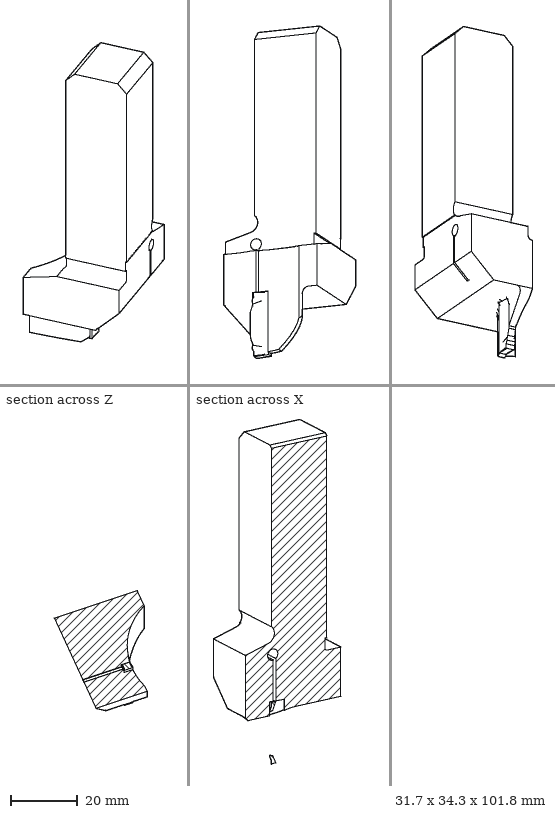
import cadquery as cq
import math


total_height = 101.8
head_right = 31.4
head_depth = 34.3
relief = 0.3

shank_width = 20.0
shank_right = head_right + relief
shank_left = shank_right - shank_width
shank_front = 5.0
shank_back = shank_front + shank_width
shank_chamfer = 3.0
relief_top = 39.8

head_bottom = 16.8
head_chamfer = 7.7
shoulder_angle = math.radians(15)
shoulder_slope = math.tan(shoulder_angle)
side_shoulder_z = 29.7
side_cove_radius = 1.2
ledge_z = 32.7
undercut_front = 5.6
undercut_top = 36.5
ledge_fillet = 0.6

arm_back_z = 36.7
arm_cove_radius = 3.0
arm_cove_bite = 1.0
hinge_hole_y = 24.4
hinge_hole_z = 35.0
hinge_hole_radius = 1.7
slot_width = 0.8
slot_y = 23.8

blade_front = 4.7
blade_right = 13.7
blade_arc_y = 25.1
blade_inner_x = 11.4
blade_inner_radius = 22.0
blade_bottom = 0.9
blade_slope_back = 16.2
blade_slope_top = 7.8
blade_fillet = 1.9
jaw_flat_x = 10.2
jaw_tip_z = 6.9

insert_length = 20.1
insert_seat_y = 20.3
insert_edge_y = 24.9
insert_land_y = 25.4
insert_hump_y = 26.2
insert_width = 3.1
body_width = 2.3
insert_center_x = blade_right - body_width / 2
insert_end_relief = 0.2
edge_land_z = 1.4
land_start_z = 2.4
land_end_z = 4.1
hump_start_z = 6.1
pad_length = 3.0
pad_end = 3.7
pad_end_width = 2.9
pad_depth = 4.0
pad_corner = 0.2
pad_draft = 5.0


def front_block():
    """Shank and head with their XZ outline, through the full depth."""
    shoulder_at_shank = side_shoulder_z + shank_left * shoulder_slope
    block = (
        cq.Workplane("XZ")
        .moveTo(0, head_bottom)
        .lineTo(head_right - head_chamfer, head_bottom)
        .lineTo(head_right, head_bottom + head_chamfer)
        .lineTo(head_right, relief_top)
        .lineTo(shank_right, relief_top)
        .lineTo(shank_right, total_height - shank_chamfer)
        .lineTo(shank_right - shank_chamfer, total_height)
        .lineTo(shank_left + shank_chamfer, total_height)
        .lineTo(shank_left, total_height - shank_chamfer)
        .lineTo(shank_left, shoulder_at_shank)
        .lineTo(0, side_shoulder_z)
        .close()
        .extrude(-head_depth)
    )
    cove_edge = cq.selectors.NearestToPointSelector((shank_left, head_depth / 2, shoulder_at_shank))
    return block.edges(cove_edge).fillet(side_cove_radius)


def blade_prism():
    """Upright wall under the head, with a convex front that turns into the flat right side."""
    depth = blade_arc_y - blade_front
    radius = (blade_right**2 + depth**2) / (2 * blade_right)
    center_x = blade_right - radius
    mid_angle = math.atan2(depth, -center_x) / 2
    mid_point = (
        center_x + radius * math.cos(mid_angle),
        blade_arc_y - radius * math.sin(mid_angle),
    )
    return (
        cq.Workplane("XY")
        .moveTo(0, blade_front)
        .threePointArc(mid_point, (blade_right, blade_arc_y))
        .lineTo(blade_right, head_depth)
        .lineTo(0, head_depth)
        .close()
        .extrude(head_bottom)
    )


def side_envelope():
    """YZ outline of the whole holder, through the full width."""
    cove_y = shank_back - arm_cove_bite + arm_cove_radius
    slope_below_cove = arm_back_z + (head_depth - cove_y) * shoulder_slope
    cove_z = slope_below_cove + arm_cove_radius / math.cos(shoulder_angle)
    cove_top_z = cove_z + math.sqrt(arm_cove_radius**2 - (cove_y - shank_back) ** 2)
    tangent_y = cove_y - arm_cove_radius * math.sin(shoulder_angle)
    tangent_z = cove_z - arm_cove_radius * math.cos(shoulder_angle)
    envelope = (
        cq.Workplane("YZ")
        .moveTo(0, blade_slope_top)
        .lineTo(0, ledge_z)
        .lineTo(undercut_front, ledge_z)
        .lineTo(undercut_front, undercut_top)
        .lineTo(shank_front, undercut_top)
        .lineTo(shank_front, total_height)
        .lineTo(shank_back, total_height)
        .lineTo(shank_back, cove_top_z)
        .threePointArc((shank_back - arm_cove_bite, cove_z), (tangent_y, tangent_z))
        .lineTo(head_depth, arm_back_z)
        .lineTo(head_depth, head_bottom)
        .lineTo(insert_hump_y, jaw_tip_z)
        .lineTo(insert_seat_y, blade_bottom)
        .lineTo(blade_slope_back, blade_bottom)
        .lineTo(blade_front, blade_slope_top)
        .close()
        .extrude(shank_right)
    )
    ledge_edge = cq.selectors.NearestToPointSelector((shank_right / 2, undercut_front, ledge_z))
    return envelope.edges(ledge_edge).fillet(ledge_fillet)


def concave_side():
    """Cutter for the hollow side of the blade and head, ending in a flat at the back."""
    center_x = blade_inner_x - blade_inner_radius
    front_y = blade_arc_y - math.sqrt(blade_inner_radius**2 - center_x**2)
    flat_y = blade_arc_y + math.sqrt(blade_inner_radius**2 - (jaw_flat_x - center_x) ** 2)
    return (
        cq.Workplane("XY")
        .moveTo(0, front_y)
        .threePointArc((blade_inner_x, blade_arc_y), (jaw_flat_x, flat_y))
        .lineTo(jaw_flat_x, head_depth)
        .lineTo(0, head_depth)
        .close()
        .extrude(ledge_z + side_cove_radius)
    )


def clamp_slot():
    """Cutter for the hinge hole and the slot that runs from it down to the insert."""
    hole = cq.Workplane("YZ").center(hinge_hole_y, hinge_hole_z).circle(hinge_hole_radius)
    slot_bottom = insert_length - insert_end_relief
    slot = (
        cq.Workplane("YZ")
        .center(slot_y, (slot_bottom + hinge_hole_z) / 2)
        .rect(slot_width, hinge_hole_z - slot_bottom)
    )
    return hole.extrude(shank_right).union(slot.extrude(shank_right))


def insert_profile(start_x, end_x):
    """Insert with its YZ outline, symmetric about its middle, between two X positions."""
    tip_half = [
        (insert_seat_y, insert_end_relief),
        (insert_edge_y, 0),
        (insert_edge_y, edge_land_z),
        (insert_land_y, land_start_z),
        (insert_land_y, land_end_z),
        (insert_hump_y, hump_start_z),
    ]
    top_half = [(y, insert_length - z) for y, z in reversed(tip_half)]
    return (
        cq.Workplane("YZ", origin=(start_x, 0, 0))
        .polyline(tip_half + top_half)
        .close()
        .extrude(end_x - start_x)
    )


def insert_pocket():
    """Cutter for the insert seat: the insert outline, square over the idle cutting edge."""
    pocket_end = insert_center_x + insert_width / 2
    edge_clearance = (
        cq.Workplane("XY", origin=(0, insert_edge_y, insert_length - land_start_z))
        .box(pocket_end, insert_land_y - insert_edge_y, land_start_z, centered=False)
    )
    return insert_profile(0, pocket_end).union(edge_clearance)


def make_holder():
    holder = front_block().union(blade_prism())
    flat_side_y = (blade_arc_y + head_depth) / 2
    corner = cq.selectors.NearestToPointSelector((blade_right, flat_side_y, head_bottom))
    holder = holder.edges(corner).fillet(blade_fillet)
    holder = holder.intersect(side_envelope())
    return holder.cut(concave_side()).cut(clamp_slot()).cut(insert_pocket())


def cutting_pad():
    """Wide lower cutting end, drafted inwards below the cutting edge."""
    half_tip = insert_width / 2
    half_pad = pad_end_width / 2
    half_body = body_width / 2
    half_outline = [
        (half_tip - pad_corner, 0),
        (half_tip, pad_corner),
        (half_pad, pad_length),
        (half_body, pad_end),
    ]
    other_half = [(-x, z) for x, z in reversed(half_outline)]
    return (
        cq.Workplane("XZ", origin=(insert_center_x, insert_land_y, 0))
        .polyline(half_outline + other_half)
        .close()
        .extrude(pad_depth, taper=pad_draft)
    )


def make_insert():
    half_body = body_width / 2
    half_width = insert_width / 2
    body = insert_profile(insert_center_x - half_body, insert_center_x + half_body)
    lower_pad = cutting_pad()
    upper_pad = lower_pad.mirror("XY", (0, 0, insert_length / 2))
    envelope = insert_profile(insert_center_x - half_width, insert_center_x + half_width)
    return body.union(lower_pad.union(upper_pad).intersect(envelope))


holder = make_holder()
insert = make_insert()
result = cq.Compound.makeCompound([holder.solids().val(), insert.solids().val()])